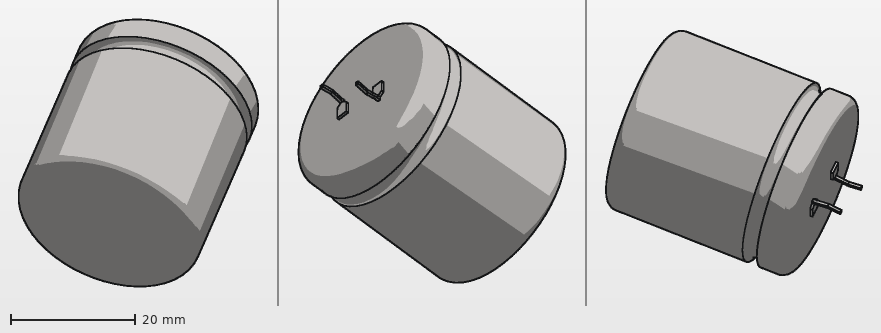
import cadquery as cq

can_radius = 31.0 / 2
total_length = 37.0
pin_length = 5.0
can_length = total_length - pin_length
edge_radius = 1.78

groove_radius = 1.25
groove_distance = 6.03

pin_offset_x = 4.07
pin_width = 0.5
pin_thickness = 0.6
pin_offset_z = 2.9
pin_bulge = 0.4
pin_root_length = 0.7
pin_bend_distance = 2.75

pad_width = 2.07
pad_height = 0.45
pad_taper_length = 0.7
pad_straight_length = 2.33


def make_can():
    return cq.Workplane("XZ").circle(can_radius).extrude(can_length).edges().fillet(edge_radius)


def make_groove_cutter():
    return (
        cq.Workplane("XY")
        .center(can_radius, -groove_distance)
        .circle(groove_radius)
        .revolve(360, (-can_radius, 0), (-can_radius, 1))
    )


def make_pin():
    """Bent strip at +X, +Z, drawn in the YZ plane."""
    centreline = [
        (0, pin_offset_z),
        (pin_root_length, pin_offset_z),
        (pin_bend_distance, pin_offset_z + pin_bulge),
        (pin_length, pin_offset_z),
    ]
    half_thickness = pin_thickness / 2
    outer_side = [(y, z + half_thickness) for y, z in centreline]
    inner_side = [(y, z - half_thickness) for y, z in reversed(centreline)]
    return (
        cq.Workplane("YZ", origin=(pin_offset_x, 0, 0))
        .polyline(outer_side + inner_side)
        .close()
        .extrude(pin_width / 2, both=True)
    )


def make_pad():
    """Foot that widens from the inner side of the pin, then runs straight past the can axis."""
    narrow_end = pin_offset_z - pin_thickness / 2
    taper_end = narrow_end - pad_taper_length
    far_end = taper_end - pad_straight_length
    outline = [
        (-pin_width / 2, narrow_end),
        (pin_width / 2, narrow_end),
        (pad_width / 2, taper_end),
        (pad_width / 2, far_end),
        (-pad_width / 2, far_end),
        (-pad_width / 2, taper_end),
    ]
    return (
        cq.Workplane("XZ", origin=(pin_offset_x, 0, 0))
        .polyline(outline)
        .close()
        .extrude(-pad_height)
    )


result = make_can().cut(make_groove_cutter())

terminal = make_pin().union(make_pad())
for angle in (0, 180):
    result = result.union(terminal.rotate((0, 0, 0), (0, 1, 0), angle))